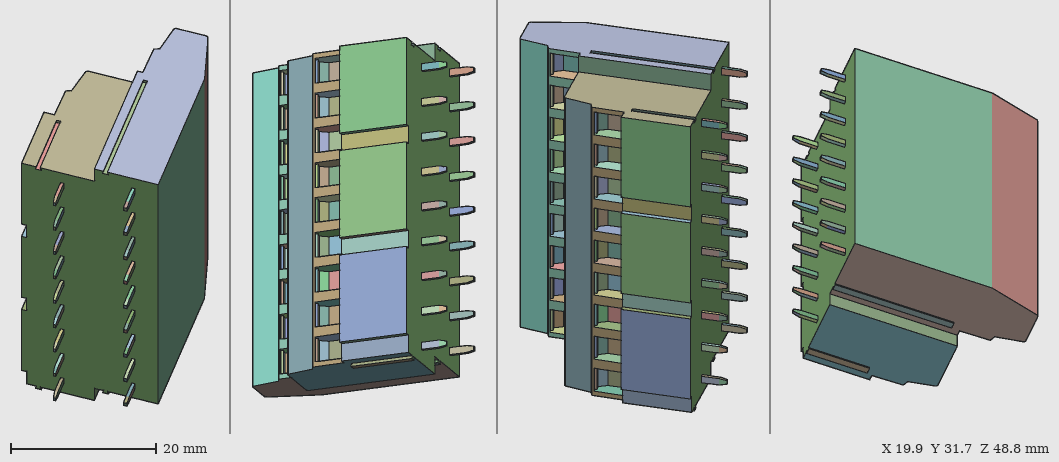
import cadquery as cq


poles = 9
overall_length = 48.75
rib_height = 0.5
row_length = (overall_length - rib_height) * poles / (poles + 0.5)
pitch = row_length / poles
row_stagger = pitch / 2

body_width = 19.85
split_x = 10.6
tier_step_x = 9.85
tier_step_y = 8.95

shelf_height = 9.9
wall_bottom_x = 1.5
wall_top_x = 1.6
ledge_edge_height = 14.55
ledge_back_height = 14.85
ledge_back_x = 2.4
low_top_x = 3.15
low_top_height = 18.95

high_top_height = 28.1
high_top_front_x = 12.95
high_top_back_x = 17.85
back_wall_height = 20.45

crown_bevel = 0.2

notch_depth = 0.75
poles_per_notch = 3

pocket_height = 4.35
pocket_mouth_length = 3.65
pocket_back_length = 2.8
pocket_rebate_depth = 0.45
pocket_rebate_drop = 0.35
pocket_roof_depth = 0.98
pocket_depth = 1.4
pocket_slant_drop = 1.25

dovetail_neck = 0.55
dovetail_wide = 0.9
low_dovetail_x = 2.45
high_dovetail_x = 12.2
low_dovetail_length = 9.0
high_dovetail_length = 17.65

pin_width = 0.5
pin_thickness = 1.0
pin_length = 3.6
pin_taper_length = 1.0
pin_tip_thickness = 0.6
pin_tip_bevel = 0.15
low_pin_x = 5.9
high_pin_x = 16.25
pin_embed = 0.5


def prism_z(points, start, length):
    """Extrude an XY outline along +Z from the given start."""
    return cq.Workplane("XY").workplane(offset=start).polyline(points).close().extrude(length)


def prism_y(points, start, length):
    """Extrude an outline of (x, z) points along +Y from the given start."""
    return cq.Workplane("XZ").workplane(offset=-start).polyline(points).close().extrude(-length)


def box(x0, x1, y0, y1, z0, z1):
    """Box between opposite corners."""
    return cq.Workplane("XY").box(x1 - x0, y1 - y0, z1 - z0, centered=False).translate((x0, y0, z0))


def bevel_crown(tier, top_y, xs):
    """Bevel the long edges at the given X places of a tier's top."""
    for x in xs:
        edge = cq.NearestToPointSelector((x, top_y, overall_length / 2))
        tier = tier.edges(edge).chamfer(crown_bevel)
    return tier


def low_tier():
    outline = [
        (0, 0),
        (split_x, 0),
        (split_x, low_top_height),
        (low_top_x, low_top_height),
        (ledge_back_x, ledge_back_height),
        (wall_top_x, ledge_edge_height),
        (wall_bottom_x, shelf_height),
        (0, shelf_height),
    ]
    return bevel_crown(prism_z(outline, 0, row_length), low_top_height, [low_top_x])


def high_tier():
    outline = [
        (split_x, 0),
        (body_width, 0),
        (body_width, back_wall_height),
        (high_top_back_x, high_top_height),
        (high_top_front_x, high_top_height),
        (ledge_back_x + tier_step_x, ledge_back_height + tier_step_y),
        (wall_top_x + tier_step_x, ledge_edge_height + tier_step_y),
        (wall_bottom_x + tier_step_x, low_top_height),
        (split_x, low_top_height),
    ]
    block = prism_z(outline, row_stagger, row_length)
    return bevel_crown(block, high_top_height, [high_top_front_x, high_top_back_x])


def notches():
    cuts = cq.Workplane("XY")
    for i in range(poles // poles_per_notch):
        z = i * poles_per_notch * pitch
        cuts = cuts.add(box(0, notch_depth, 0, shelf_height, z, z + row_stagger))
    return cuts.combine()


def pocket(wall_x, floor_y, z):
    """Wire entry narrowing in Z with depth, with a rebated roof and a slanted upper back."""
    mouth_x = wall_x - pocket_depth
    back_x = wall_x + pocket_depth
    roof_y = floor_y + pocket_height
    rebate_x = wall_x + pocket_rebate_depth
    slant_y = roof_y - pocket_rebate_drop
    side = [
        (mouth_x, floor_y),
        (back_x, floor_y),
        (back_x, slant_y - pocket_slant_drop),
        (wall_x + pocket_roof_depth, slant_y),
        (rebate_x, slant_y),
        (rebate_x, roof_y),
        (mouth_x, roof_y),
    ]
    half_mouth = pocket_mouth_length / 2
    half_back = pocket_back_length / 2
    plan = [
        (mouth_x, z - half_mouth),
        (wall_x, z - half_mouth),
        (back_x, z - half_back),
        (back_x, z + half_back),
        (wall_x, z + half_mouth),
        (mouth_x, z + half_mouth),
    ]
    side_prism = prism_z(side, z - half_mouth, pocket_mouth_length)
    return side_prism.intersect(prism_y(plan, floor_y, pocket_height))


def dovetail(x, z, length):
    """Dovetail bar that is narrow at its top and widens downward in Z."""
    outline = [
        (x - dovetail_neck / 2, z),
        (x + dovetail_neck / 2, z),
        (x + dovetail_wide / 2, z - rib_height),
        (x - dovetail_wide / 2, z - rib_height),
    ]
    return prism_y(outline, 0, length)


def pin(x, z, bevel):
    """Flat pin tapered in Z at its tip, with an optional bevel on its front."""
    half_width = pin_width / 2
    half_thickness = pin_thickness / 2
    half_tip = pin_tip_thickness / 2
    taper_y = pin_taper_length - pin_length
    front = [
        (x + half_width, pin_embed),
        (x - half_width, pin_embed),
        (x - half_width, taper_y),
        (x - half_width + bevel, -pin_length),
        (x + half_width, -pin_length),
    ]
    side = [
        (pin_embed, z - half_thickness),
        (taper_y, z - half_thickness),
        (-pin_length, z - half_tip),
        (-pin_length, z + half_tip),
        (taper_y, z + half_thickness),
        (pin_embed, z + half_thickness),
    ]
    side_plane = cq.Workplane("YZ").workplane(offset=x - half_width)
    side_prism = side_plane.polyline(side).close().extrude(pin_width)
    return prism_z(front, z - half_thickness, pin_thickness).intersect(side_prism)


body = low_tier().union(high_tier())
body = body.cut(notches())

for i in range(poles):
    low_z = (i + 0.5) * pitch
    high_z = low_z + row_stagger
    body = body.cut(pocket(wall_bottom_x, shelf_height, low_z))
    body = body.cut(pocket(wall_bottom_x + tier_step_x, low_top_height, high_z))
    body = body.union(pin(low_pin_x, low_z, pin_tip_bevel))
    body = body.union(pin(high_pin_x, high_z, 0))

for x, end_z, length in (
    (low_dovetail_x, 0, low_dovetail_length),
    (high_dovetail_x, row_stagger, high_dovetail_length),
):
    body = body.union(dovetail(x, end_z, length))
    body = body.cut(dovetail(x, end_z + row_length, length))

result = body